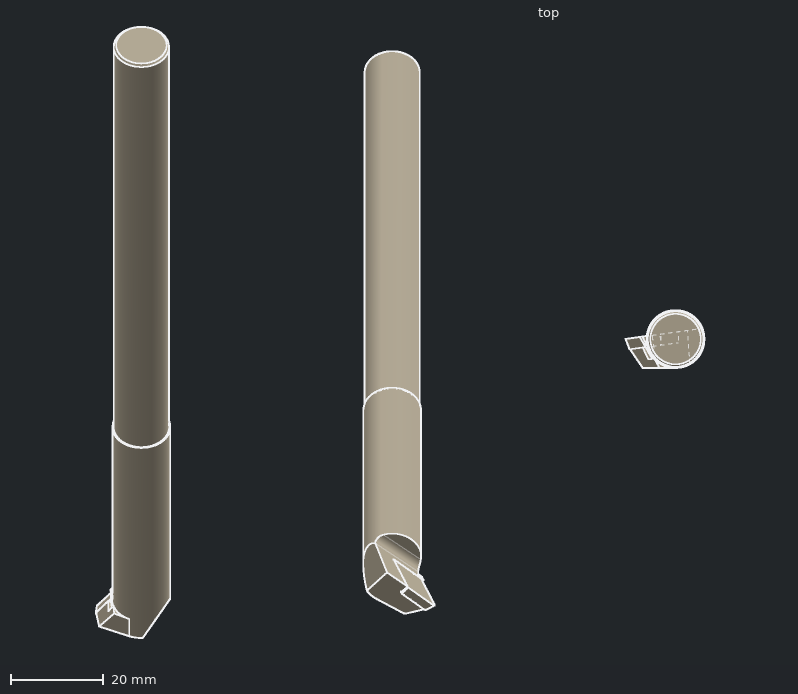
import cadquery as cq
import math

TOTAL_LENGTH = 181.2
SHANK_DIAMETER = 12.0
NECK_DIAMETER = 12.5
NECK_TOP = 61.6
SHANK_BEVEL = 0.5
NECK_RADIUS = NECK_DIAMETER / 2

OVERALL_WIDTH = 17.0
TIP_X = NECK_RADIUS - OVERALL_WIDTH
TIP_Y = 0
RAKE_ANGLE = 8

INSERT_EDGE = 7.8
INSERT_THICKNESS = 2.4
INSERT_CLEARANCE = 7
NOSE_RADIUS = 0.4
END_EDGE_ANGLE = 3
NOSE_ANGLE = 55
SIDE_EDGE_ANGLE = END_EDGE_ANGLE + NOSE_ANGLE

NOSE_CENTRE_DISTANCE = NOSE_RADIUS / math.sin(math.radians(NOSE_ANGLE / 2))
NOSE_CENTRE_ANGLE = math.radians(END_EDGE_ANGLE + NOSE_ANGLE / 2)
CORNER_X = TIP_X + NOSE_RADIUS - NOSE_CENTRE_DISTANCE * math.cos(NOSE_CENTRE_ANGLE)
CORNER_Z = NOSE_RADIUS - NOSE_CENTRE_DISTANCE * math.sin(NOSE_CENTRE_ANGLE)

SUPPORT_LEFT = -7.0
SUPPORT_RIGHT = 0.2
SUPPORT_BOTTOM = 1.6
SUPPORT_TOP = 7.5
SUPPORT_DEPTH = 8.2
SIDE_RELIEF = 0.55
END_RELIEF = 0.17

CORNER_RELIEF_DIAMETER = 2.7
CORNER_RELIEF_DEPTH = 5.0
CORNER_RELIEF_X = 4.7

HEEL_START_Z = 9.5
HEEL_END_X = 2.2
CHIP_SPACE_TOP = 10.2
CHIP_SPACE_RADIUS = 1.8
CUT_SIZE = 36.2

rake = math.radians(RAKE_ANGLE)
rake_plane = cq.Plane(
    origin=(CORNER_X, TIP_Y, CORNER_Z),
    xDir=(math.cos(rake), math.sin(rake), 0),
    normal=(math.sin(rake), -math.cos(rake), 0),
)


def edge_vector(angle, length):
    """Vector at an angle in the rake plane."""
    return cq.Vector(length * math.cos(math.radians(angle)), length * math.sin(math.radians(angle)))


def diamond_prism(edge):
    """Tapered diamond whose far corner is that of the insert."""
    far_corner = edge_vector(END_EDGE_ANGLE, INSERT_EDGE) + edge_vector(SIDE_EDGE_ANGLE, INSERT_EDGE)
    end_edge = edge_vector(END_EDGE_ANGLE, edge)
    side_edge = edge_vector(SIDE_EDGE_ANGLE, edge)
    corners = [far_corner - end_edge - side_edge, far_corner - side_edge, far_corner, far_corner - end_edge]
    outline = cq.Workplane(rake_plane).polyline([(p.x, p.y) for p in corners]).close()
    return outline.extrude(INSERT_THICKNESS, taper=INSERT_CLEARANCE)


def make_insert():
    """Diamond insert with a rounded cutting nose."""
    nose = cq.selectors.NearestToPointSelector((CORNER_X, TIP_Y - INSERT_THICKNESS / 2, CORNER_Z))
    return diamond_prism(INSERT_EDGE).edges(nose).fillet(NOSE_RADIUS)


def make_bar():
    """Neck and slimmer shank."""
    neck = cq.Workplane("XY").circle(NECK_RADIUS).extrude(NECK_TOP)
    shank = cq.Workplane("XY").workplane(offset=NECK_TOP).circle(SHANK_DIAMETER / 2)
    shank = shank.extrude(TOTAL_LENGTH - NECK_TOP).faces(">Z").chamfer(SHANK_BEVEL)
    return neck.union(shank)


def support_section(depth):
    """Corners of the support at a depth behind its flat -Y face, running past its trimmed lower end."""
    lean = math.tan(math.radians(SIDE_EDGE_ANGLE))
    left = SUPPORT_LEFT - SIDE_RELIEF * depth
    left_top = left + (SUPPORT_TOP - SUPPORT_BOTTOM) / lean
    left_end = left - SUPPORT_BOTTOM / lean
    return [(left_end, 0), (SUPPORT_RIGHT, 0), (SUPPORT_RIGHT, SUPPORT_TOP), (left_top, SUPPORT_TOP)]


def make_support():
    """Block under the insert with a relieved side flank."""
    front = cq.Workplane("XZ", origin=(0, -NECK_RADIUS, 0)).polyline(support_section(0)).close()
    back = front.workplane(offset=-SUPPORT_DEPTH).polyline(support_section(SUPPORT_DEPTH)).close()
    return back.loft(ruled=True)


def end_relief_cut():
    """Wedge that slopes the lower end of the holder up toward -Y."""
    reach = CUT_SIZE / 2
    low = SUPPORT_BOTTOM - END_RELIEF * (reach + NECK_RADIUS)
    high = SUPPORT_BOTTOM + END_RELIEF * (reach - NECK_RADIUS)
    profile = [(-reach, high), (reach, low), (reach, -reach), (-reach, -reach)]
    wedge = cq.Workplane("YZ").workplane(offset=-reach).polyline(profile).close().extrude(CUT_SIZE)
    pivot = (SUPPORT_LEFT, 0, SUPPORT_BOTTOM)
    pivot_end = (SUPPORT_LEFT, -1, SUPPORT_BOTTOM)
    return wedge.rotate(pivot, pivot_end, END_EDGE_ANGLE)


def heel_cut():
    """Wedge that bevels the +X side of the lower end."""
    profile = [(NECK_RADIUS, HEEL_START_Z), (HEEL_END_X, 0), (HEEL_END_X, -CUT_SIZE),
               (CUT_SIZE, -CUT_SIZE), (CUT_SIZE, HEEL_START_Z)]
    return cq.Workplane("XZ").polyline(profile).close().extrude(CUT_SIZE / 2, both=True)


def chip_space_cut():
    """Open space above the rake plane, with a rounded inner corner."""
    top = CHIP_SPACE_TOP - CORNER_Z
    space = cq.Workplane(rake_plane).center(0, top - CUT_SIZE / 2).rect(2 * CUT_SIZE, CUT_SIZE)
    inner_corner = cq.selectors.NearestToPointSelector((0, TIP_Y, CHIP_SPACE_TOP))
    return space.extrude(-CUT_SIZE).edges(inner_corner).fillet(CHIP_SPACE_RADIUS)


def corner_relief_cut():
    """Half-round recess open to the side flank, with its flat side along the pocket wall."""
    far_corner = edge_vector(END_EDGE_ANGLE, INSERT_EDGE) + edge_vector(SIDE_EDGE_ANGLE, INSERT_EDGE)
    wall_slope = math.tan(math.radians(END_EDGE_ANGLE))
    wall_y = far_corner.y - (far_corner.x - CORNER_RELIEF_X) * wall_slope
    centre = cq.Vector(CORNER_RELIEF_X, wall_y)
    radius = CORNER_RELIEF_DIAMETER / 2
    start = centre - edge_vector(END_EDGE_ANGLE, radius)
    middle = centre - edge_vector(END_EDGE_ANGLE + 90, radius)
    end = centre + edge_vector(END_EDGE_ANGLE, radius)
    outline = cq.Workplane(rake_plane).moveTo(start.x, start.y)
    outline = outline.threePointArc((middle.x, middle.y), (end.x, end.y)).close()
    return outline.extrude(CORNER_RELIEF_DEPTH)


def make_holder():
    """Bar and support with the clearance cuts and the insert pocket."""
    body = make_bar().union(make_support()).cut(end_relief_cut())
    body = body.cut(heel_cut()).cut(chip_space_cut())
    return body.cut(diamond_prism(CUT_SIZE / 2)).cut(corner_relief_cut())


holder = make_holder()
insert = make_insert()
result = cq.Compound.makeCompound([holder.solids().val(), insert.solids().val()])